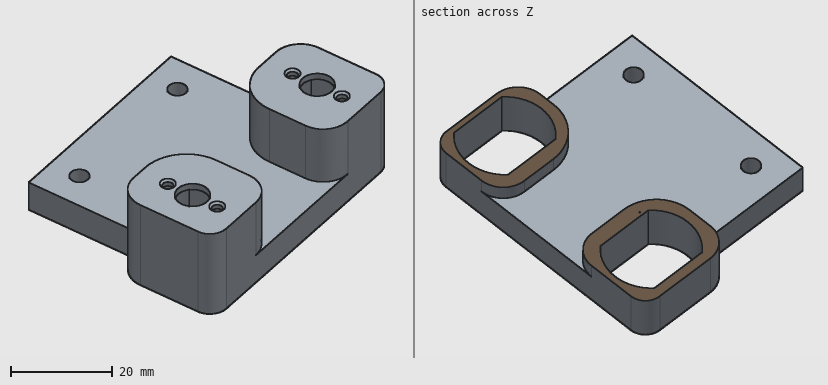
import cadquery as cq
import math

overall_length = 49.5
overall_width = 60.0
overall_height = 20.5
plate_width = 48.0
plate_thickness = 7.0
mount_hole_diameter = 4.0
mount_hole_x = 6.95
mount_hole_spacing = 33.0

boss_length = 24.0
boss_left = overall_length - boss_length
outer_left_radius = 6.0
outer_right_radius = 4.0
inner_right_radius = 6.0

shaft_x = 38.05
shaft_hole_diameter = 7.0
screw_hole_diameter = 2.2
screw_chamfer = 0.5
screw_spacing = 12.0

roof_thickness = 1.5
pocket_radius = 10.0
pocket_width = 15.1
pocket_inward_shift = 0.4


def make_plate():
    """Flat plate with its two mounting holes."""
    plate = cq.Workplane("XY").box(
        overall_length, plate_width, plate_thickness, centered=(False, True, False)
    )
    holes = (
        cq.Workplane("XY")
        .pushPoints([(mount_hole_x, side * mount_hole_spacing / 2) for side in (-1, 1)])
        .circle(mount_hole_diameter / 2)
        .extrude(plate_thickness)
    )
    return plate.cut(holes)


def make_boss(side, inner_distance, inner_left_radius):
    """Full-height block on one Y side, with a different radius on each upright edge."""
    outer_distance = overall_width / 2
    depth = outer_distance - inner_distance
    center_x = boss_left + boss_length / 2
    center_y = side * (outer_distance + inner_distance) / 2
    boss = (
        cq.Workplane("XY")
        .center(center_x, center_y)
        .rect(boss_length, depth)
        .extrude(overall_height)
    )
    outer, inner = (">Y", "<Y") if side > 0 else ("<Y", ">Y")
    edge_radii = (
        (outer, "<X", outer_left_radius),
        (outer, ">X", outer_right_radius),
        (inner, "<X", inner_left_radius),
        (inner, ">X", inner_right_radius),
    )
    for y_side, x_side, radius in edge_radii:
        boss = boss.faces(y_side).edges("|Z").edges(x_side).fillet(radius)
    return boss


def make_boss_openings(side, shaft_distance):
    """Shaft hole, chamfered screw holes and motor pocket, as one cutting solid."""
    shaft_y = side * shaft_distance
    roof_bottom = overall_height - roof_thickness
    shaft = (
        cq.Workplane("XY")
        .center(shaft_x, shaft_y)
        .circle(shaft_hole_diameter / 2)
        .extrude(overall_height)
    )

    screw_points = [(shaft_x + end * screw_spacing / 2, shaft_y) for end in (-1, 1)]
    screws = (
        cq.Workplane("XY")
        .pushPoints(screw_points)
        .circle(screw_hole_diameter / 2)
        .extrude(overall_height)
    )
    countersinks = (
        cq.Workplane("XY", origin=(0, 0, overall_height))
        .pushPoints(screw_points)
        .circle(screw_hole_diameter / 2 + screw_chamfer)
        .extrude(-screw_chamfer, taper=45)
    )

    flat_y = pocket_width / 2
    flat_end_x = math.sqrt(pocket_radius**2 - flat_y**2)
    pocket = (
        cq.Workplane("XY")
        .center(shaft_x, shaft_y - side * pocket_inward_shift)
        .moveTo(-flat_end_x, -flat_y)
        .lineTo(flat_end_x, -flat_y)
        .threePointArc((pocket_radius, 0), (flat_end_x, flat_y))
        .lineTo(-flat_end_x, flat_y)
        .threePointArc((-pocket_radius, 0), (-flat_end_x, -flat_y))
        .close()
        .extrude(roof_bottom)
    )
    return shaft.union(screws).union(countersinks).union(pocket)


bosses = (
    (1, 8.95, 9.2, 20.5),
    (-1, 10.0, 10.0, 21.5),
)

result = make_plate()
for side, inner_distance, inner_left_radius, shaft_distance in bosses:
    result = result.union(make_boss(side, inner_distance, inner_left_radius))
    result = result.cut(make_boss_openings(side, shaft_distance))